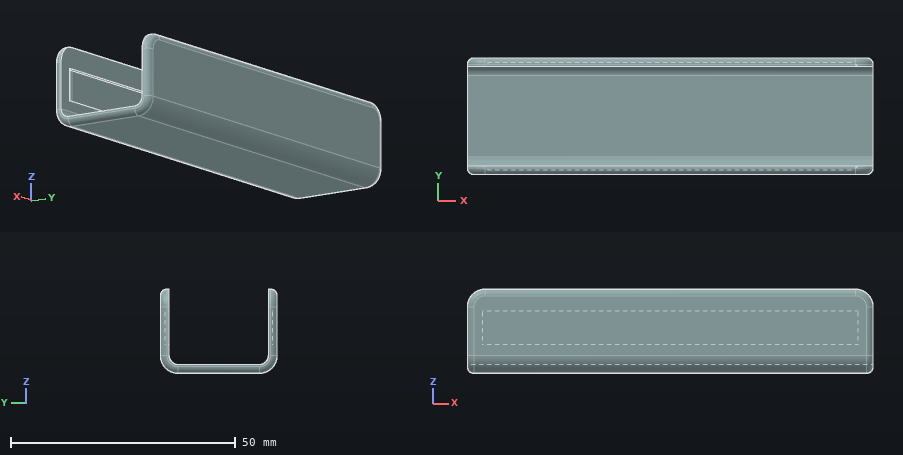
import cadquery as cq
import math

length = 90.6
width = 26.1
height = 18.84
wall = 2.0
bend_radius = 4.0
corner_radius = 4.0
edge_radius = 1.5

pocket_length = 83.9
pocket_bottom = 6.5
pocket_height = 7.4
pocket_depth = 1.0
pocket_end_radius = 3.0

inner_width = width - 2 * wall
inner_bend_radius = bend_radius - wall


def rounded_trough(trough_width, bottom, radius):
    """Solid block along X with its two lower long edges rounded."""
    return (
        cq.Workplane("XY")
        .box(length, trough_width, height - bottom, centered=(True, True, False))
        .translate((0, 0, bottom))
        .edges("|X and <Z")
        .fillet(radius)
    )


def make_channel():
    """U-shaped channel with rounded upper wall corners and outside rim."""
    outside = (
        rounded_trough(width, 0, bend_radius)
        .edges("|Y and >Z")
        .fillet(corner_radius)
    )
    outside = outside.faces("<Y or >Y").edges().fillet(edge_radius)
    return outside.cut(rounded_trough(inner_width, wall, inner_bend_radius))


def make_pocket_cutter():
    """Block across the channel whose rounded vertical edges form the pocket ends."""
    end_run = math.sqrt(pocket_end_radius**2 - (pocket_end_radius - pocket_depth) ** 2)
    cutter_length = pocket_length + 2 * (pocket_end_radius - end_run)
    cutter_width = inner_width + 2 * pocket_depth
    return (
        cq.Workplane("XY")
        .box(cutter_length, cutter_width, pocket_height, centered=(True, True, False))
        .translate((0, 0, pocket_bottom))
        .edges("|Z")
        .fillet(pocket_end_radius)
    )


result = make_channel().cut(make_pocket_cutter())